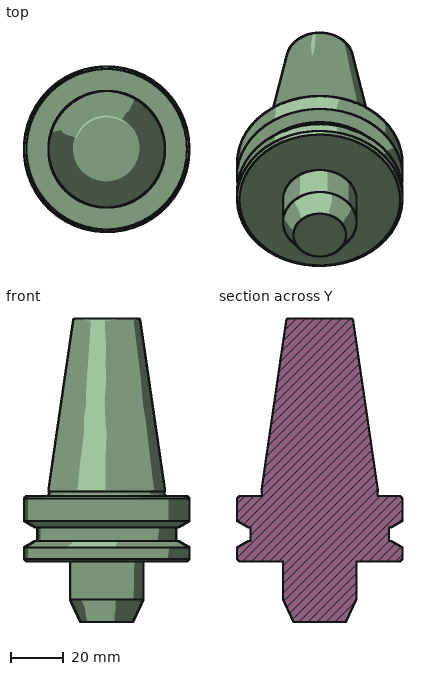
import cadquery as cq
import math

taper_length = 65.4
flange_top = -2.0
flange_bottom = -27.0
nose_bottom = -50.0

gauge_radius = 44.45 / 2
taper_ratio = 7 / 24
shank_end_radius = gauge_radius - taper_length * taper_ratio / 2
shank_end_fillet = 1.0

relief_radius = 22.0
relief_corner_radius = 0.5
relief_lip_height = 0.3

flange_radius = 63.0 / 2
flange_chamfer = 1.0
groove_center = -16.6
groove_mouth_width = 10.0
groove_floor_width = 5.0
groove_floor_radius = 53.0 / 2
groove_wall_angle = math.radians(30)

nose_radius = 14.0
nose_tip_radius = 10.0
nose_cone_angle = math.radians(25)


def taper_shank():
    """Solid 7/24 cone with a shallow relief above the flange."""
    relief_depth = gauge_radius - relief_radius
    upper_corner_height = math.sqrt(relief_corner_radius**2 - (relief_corner_radius - relief_depth) ** 2)
    wall_top = -relief_lip_height - upper_corner_height
    wall_bottom = flange_top + relief_corner_radius
    profile = (
        cq.Workplane("XZ")
        .moveTo(0, flange_top)
        .lineTo(relief_radius + relief_corner_radius, flange_top)
        .radiusArc((relief_radius, wall_bottom), relief_corner_radius)
        .lineTo(relief_radius, wall_top)
        .radiusArc((gauge_radius, -relief_lip_height), relief_corner_radius)
        .lineTo(gauge_radius, 0)
        .lineTo(shank_end_radius, taper_length)
        .lineTo(0, taper_length)
        .close()
    )
    shank = profile.revolve(360, (0, 0), (0, 1))
    return shank.faces(">Z").edges().fillet(shank_end_fillet)


def flange():
    """Chamfered disc with the gripper groove turned into its rim."""
    height = flange_top - flange_bottom
    disc = cq.Workplane("XY").workplane(offset=flange_bottom).circle(flange_radius).extrude(height)
    disc = disc.faces("<Z or >Z").edges().chamfer(flange_chamfer)
    return disc.cut(gripper_groove())


def gripper_groove():
    """Ring to cut away: sloped walls that end in a narrower flat-bottomed slot."""
    half_mouth = groove_mouth_width / 2
    half_floor = groove_floor_width / 2
    wall_end_radius = flange_radius - (half_mouth - half_floor) / math.tan(groove_wall_angle)
    profile = (
        cq.Workplane("XZ")
        .moveTo(flange_radius, groove_center + half_mouth)
        .lineTo(wall_end_radius, groove_center + half_floor)
        .lineTo(groove_floor_radius, groove_center + half_floor)
        .lineTo(groove_floor_radius, groove_center - half_floor)
        .lineTo(wall_end_radius, groove_center - half_floor)
        .lineTo(flange_radius, groove_center - half_mouth)
        .close()
    )
    return profile.revolve(360, (0, 0), (0, 1))


def nose():
    """Cylinder below the flange, narrowing to a conical tip."""
    cone_height = (nose_radius - nose_tip_radius) / math.tan(nose_cone_angle)
    profile = (
        cq.Workplane("XZ")
        .moveTo(0, flange_bottom)
        .lineTo(nose_radius, flange_bottom)
        .lineTo(nose_radius, nose_bottom + cone_height)
        .lineTo(nose_tip_radius, nose_bottom)
        .lineTo(0, nose_bottom)
        .close()
    )
    return profile.revolve(360, (0, 0), (0, 1))


result = taper_shank().union(flange()).union(nose())